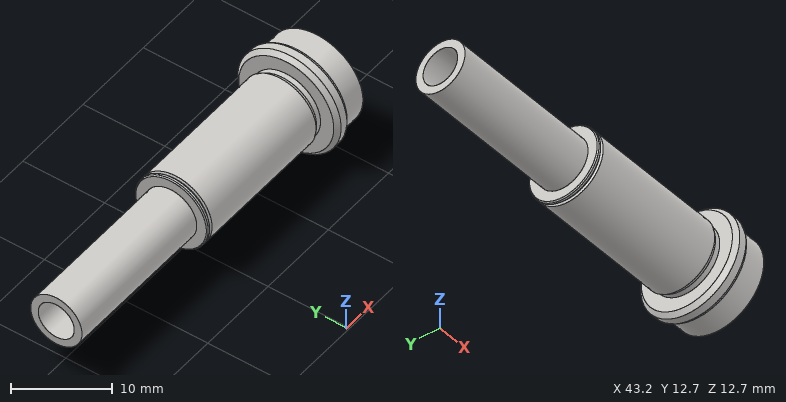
import cadquery as cq

total_length = 43.2
bore_radius = 2.2

tube_radius = 3.15
tube_length = 19.05

sleeve_radius = 4.45
sleeve_end = 37.1
sleeve_chamfer = 0.15
groove_start = tube_length + 0.4
groove_floor_length = 0.25
groove_depth = 0.25
groove_runout = 0.15

neck_radius = 4.2
neck_taper_length = 0.45

flange_diameter = 12.65
flange_radius = flange_diameter / 2
flange_start = 38.2
flange_end = 39.95
front_chamfer = 0.5
back_chamfer_length = 0.3
back_chamfer_depth = 0.17

head_radius = 5.7

groove_radius = sleeve_radius - groove_depth
groove_floor_end = groove_start + groove_floor_length

tube_section = [
    (0, bore_radius),
    (0, tube_radius),
    (tube_length, tube_radius),
]
sleeve_section = [
    (tube_length, sleeve_radius - sleeve_chamfer),
    (tube_length + sleeve_chamfer, sleeve_radius),
    (groove_start, sleeve_radius),
    (groove_start, groove_radius),
    (groove_floor_end, groove_radius),
    (groove_floor_end + groove_runout, sleeve_radius),
    (sleeve_end, sleeve_radius),
]
neck_section = [
    (sleeve_end + neck_taper_length, neck_radius),
    (flange_start, neck_radius),
]
flange_section = [
    (flange_start, flange_radius - front_chamfer),
    (flange_start + front_chamfer, flange_radius),
    (flange_end - back_chamfer_length, flange_radius),
    (flange_end, flange_radius - back_chamfer_depth),
]
head_section = [
    (flange_end, head_radius),
    (total_length, head_radius),
    (total_length, bore_radius),
]

half_section = tube_section + sleeve_section + neck_section + flange_section + head_section

result = (
    cq.Workplane("XY")
    .polyline(half_section)
    .close()
    .revolve(360, (0, 0, 0), (1, 0, 0))
)